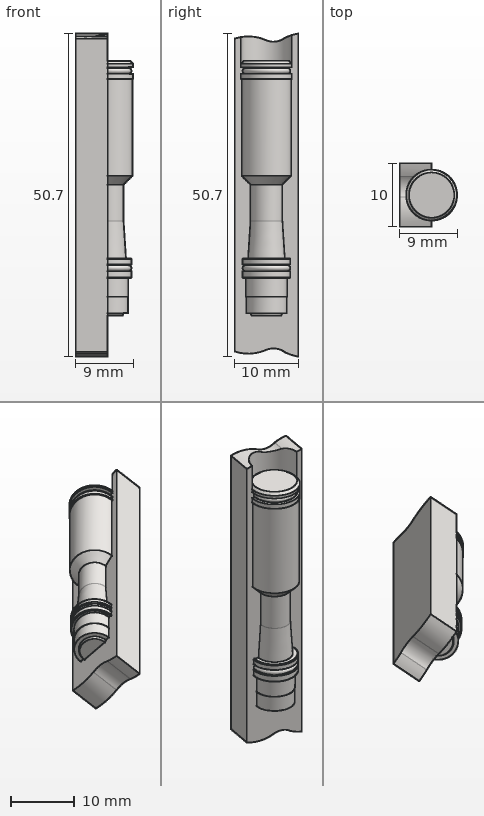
import cadquery as cq

length = 50.65
block_width = 10.0
block_depth = 5.0
half_width = block_width / 2

crest_end_y = 2.95
valley_end_y = -0.25
crest_mid = (3.95, 0.25)
crest_end = (crest_end_y, 0.65)
valley_mid = ((crest_end_y + valley_end_y) / 2, 1.25)
valley_end = (valley_end_y, 0.95)
hump_mid = (-2.65, 0.45)
low_corner = (-half_width, 0.8)

head_radius = 8.0 / 2
barrel_radius = 7.8 / 2
shaft_radius = 5.0 / 2
collar_radius = 7.5 / 2
cone_end_radius = 2.9
neck_radius = 6.5 / 2
nose_radius = 6.4 / 2
tip_radius = 2.35

head_top = 46.35
head_groove_top = 45.4
head_bottom = 43.6
barrel_bottom = 28.4
shaft_bottom = 21.35
collar_top = 15.45
collar_groove_top = 14.5
collar_bottom = 12.3
nose_top = 9.4
nose_bottom = 6.85
tip_bottom = 6.45

head_chamfer = 0.45
edge_chamfer = 0.15
ring_radius = 0.45
groove_clearance = 0.15
head_ring_outer_radius = 7.5 / 2
collar_ring_outer_radius = collar_radius


def groove_with_ring(profile, land_radius, ring_outer_radius, groove_top):
    """Continue a downward (radius, height) outline through a groove holding a round seal ring."""
    ring_center = ring_outer_radius - ring_radius
    ring_top = groove_top - groove_clearance
    ring_bottom = ring_top - 2 * ring_radius
    return (
        profile.lineTo(land_radius, groove_top)
        .lineTo(ring_center, groove_top)
        .lineTo(ring_center, ring_top)
        .threePointArc((ring_outer_radius, ring_top - ring_radius), (ring_center, ring_bottom))
        .lineTo(land_radius, ring_bottom)
    )


def make_spool():
    """Turned spool: grooved head, barrel, slim shaft, grooved collar and nose."""
    profile = (
        cq.Workplane("XZ")
        .moveTo(0, head_top)
        .lineTo(head_radius - head_chamfer, head_top)
        .lineTo(head_radius, head_top - head_chamfer)
    )
    profile = groove_with_ring(profile, head_radius, head_ring_outer_radius, head_groove_top)
    shoulder_height = barrel_radius - shaft_radius
    profile = (
        profile.lineTo(head_radius, head_bottom)
        .lineTo(barrel_radius, head_bottom - (head_radius - barrel_radius))
        .lineTo(barrel_radius, barrel_bottom)
        .lineTo(shaft_radius, barrel_bottom - shoulder_height)
        .lineTo(shaft_radius, shaft_bottom)
        .lineTo(cone_end_radius, collar_top)
        .lineTo(collar_radius - edge_chamfer, collar_top)
        .lineTo(collar_radius, collar_top - edge_chamfer)
    )
    profile = groove_with_ring(profile, collar_radius, collar_ring_outer_radius, collar_groove_top)
    profile = (
        profile.lineTo(collar_radius, collar_bottom + edge_chamfer)
        .lineTo(collar_radius - edge_chamfer, collar_bottom)
        .lineTo(neck_radius, collar_bottom)
        .lineTo(neck_radius, nose_top)
        .lineTo(nose_radius, nose_top)
        .lineTo(nose_radius, nose_bottom)
        .lineTo(shaft_radius, nose_bottom)
        .lineTo(tip_radius, tip_bottom)
        .lineTo(0, tip_bottom)
        .close()
    )
    return profile.revolve(360, (0, 0), (0, 1))


def top_point(point):
    """Point (Y, Z) on the upper wavy end."""
    return (point[0], length - point[1])


def make_block(spool):
    """Half block with mirrored wavy ends, recessed for the spool and open above its head."""
    block = (
        cq.Workplane("YZ")
        .moveTo(half_width, 0)
        .lineTo(half_width, length)
        .threePointArc(top_point(crest_mid), top_point(crest_end))
        .threePointArc(top_point(valley_mid), top_point(valley_end))
        .threePointArc(top_point(hump_mid), top_point(low_corner))
        .lineTo(*low_corner)
        .threePointArc(hump_mid, valley_end)
        .threePointArc(valley_mid, crest_end)
        .threePointArc(crest_mid, (half_width, 0))
        .close()
        .extrude(-block_depth)
    )
    entry_bottom = head_top - head_chamfer
    entry_bore = (
        cq.Workplane("XY")
        .workplane(offset=entry_bottom)
        .circle(head_radius)
        .extrude(length - entry_bottom)
    )
    return block.cut(entry_bore).cut(spool).solids()


spool = make_spool()
block = make_block(spool)

result = cq.Compound.makeCompound([block.val(), spool.val()])